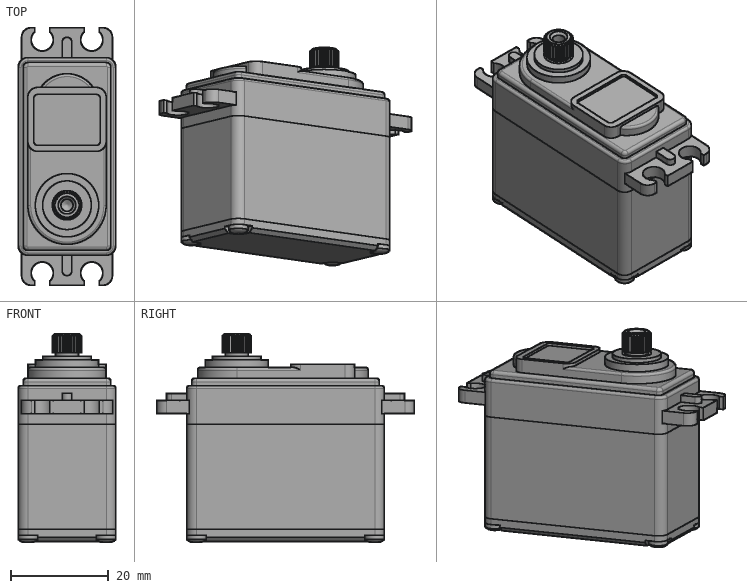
import cadquery as cq
import math

CASE_WIDTH = 20.0
CASE_LENGTH = 40.5
CORNER_RADIUS = 2.0

COVER_BOTTOM = 0.15
COVER_TOP = 2.7
HOUSING_TOP = 24.15
SHOULDER_TOP = 32.1
LID_TOP = 33.65
DECK_TOP = 35.8
BLOCK_TOP = 36.5
LOWER_RING_TOP = 37.35
UPPER_RING_TOP = 38.1
SPLINE_BOTTOM = 38.8
SHAFT_TOP = 42.7

COVER_CHAMFER = 0.9

LID_INSET = 1.0
SHOULDER_FILLET = 0.6
LID_FILLET = 0.75

FLANGE_WIDTH = 18.65
FLANGE_LENGTH = 52.8
FLANGE_BOTTOM = 26.35
FLANGE_TOP = 29.05
MOUNT_HOLE_DIAMETER = 4.5
MOUNT_HOLE_X = 5.05
MOUNT_HOLE_Y = 23.85
MOUNT_SLOT_WIDTH = 3.0
RIB_WIDTH = 2.0
RIB_LENGTH = 48.8
RIB_TOP = 30.45

SHAFT_Y = -10.0
DECK_WIDTH = 16.05
LOBE_DIAMETER = 13.0
LOBE_Y = 10.45
DECK_FILLET = 0.55
BLOCK_FRONT = 1.05
BLOCK_REAR = 14.15
BLOCK_CORNER_RADIUS = 2.0
PANEL_WIDTH = 13.55
PANEL_LENGTH = 10.4
PANEL_Y = 7.5
PANEL_CORNER_RADIUS = 0.75
PANEL_DEPTH = 0.55

LOWER_RING_DIAMETER = 13.0
UPPER_RING_DIAMETER = 10.0

JOURNAL_DIAMETER = 6.0
NECK_DIAMETER = 4.8
SPLINE_DIAMETER = 6.0
SPLINE_ROOT_DIAMETER = 4.95
SPLINE_CHAMFER = (SPLINE_DIAMETER - SPLINE_ROOT_DIAMETER) / 2
TOOTH_COUNT = 25
TOOTH_TIP_WIDTH = 0.25
TOOTH_ROOT_WIDTH = 0.6
TOOTH_OVERLAP = 0.1
BORE_DIAMETER = 2.5
BORE_DEPTH = 3.15
DRILL_POINT_ANGLE = 118
BORE_MOUTH_DIAMETER = 3.6

SCREW_DIAMETER = 2 * CORNER_RADIUS
SCREW_TOP = 1.5
SCREW_CURVE_HEIGHT = 0.65
SCREW_FLAT_DIAMETER = 1.6
SCREW_SPOTS = [
    (x * (CASE_WIDTH / 2 - CORNER_RADIUS), y * (CASE_LENGTH / 2 - CORNER_RADIUS))
    for x in (-1, 1)
    for y in (-1, 1)
]


def block(x, y, width, length, bottom, top):
    """Rectangular block between two heights, centred on a point in plan."""
    return cq.Workplane("XY", origin=(x, y, bottom)).rect(width, length).extrude(top - bottom)


def rounded_block(width, length, radius, bottom, top, y=0):
    """Block astride the YZ plane with rounded vertical edges."""
    return block(0, y, width, length, bottom, top).edges("|Z").fillet(radius)


def disc(x, y, diameter, bottom, top):
    """Upright cylinder between two heights."""
    return cq.Workplane("XY", origin=(x, y, bottom)).circle(diameter / 2).extrude(top - bottom)


def case_slice(bottom, top):
    """Piece of the full case footprint between two heights."""
    return rounded_block(CASE_WIDTH, CASE_LENGTH, CORNER_RADIUS, bottom, top)


def make_screw_pocket(x, y):
    """Pocket open to both outer walls of a corner, rounded about the screw on its inner side."""
    radius = SCREW_DIAMETER / 2
    pocket = disc(x, y, SCREW_DIAMETER, COVER_BOTTOM, SCREW_TOP)
    side_x = x + math.copysign(radius / 2, x)
    end_y = y + math.copysign(radius / 2, y)
    side = block(side_x, y, radius, SCREW_DIAMETER, COVER_BOTTOM, SCREW_TOP)
    end = block(x, end_y, SCREW_DIAMETER, radius, COVER_BOTTOM, SCREW_TOP)
    return pocket.union(side).union(end)


def make_bottom_cover():
    cover = case_slice(COVER_BOTTOM, COVER_TOP).faces("<Z").chamfer(COVER_CHAMFER)
    for x, y in SCREW_SPOTS:
        cover = cover.cut(make_screw_pocket(x, y))
    return cover


def make_flange():
    """Plate through the case whose ends carry open screw slots and a central rib."""
    flange = rounded_block(FLANGE_WIDTH, FLANGE_LENGTH, CORNER_RADIUS, FLANGE_BOTTOM, FLANGE_TOP)
    slot_length = FLANGE_LENGTH / 2 - MOUNT_HOLE_Y
    for x in (-MOUNT_HOLE_X, MOUNT_HOLE_X):
        for side in (-1, 1):
            hole_y = side * MOUNT_HOLE_Y
            hole = disc(x, hole_y, MOUNT_HOLE_DIAMETER, FLANGE_BOTTOM, FLANGE_TOP)
            slot_y = hole_y + side * slot_length / 2
            slot = block(x, slot_y, MOUNT_SLOT_WIDTH, slot_length, FLANGE_BOTTOM, FLANGE_TOP)
            flange = flange.cut(hole).cut(slot)
    rib = (
        cq.Workplane("XY", origin=(0, 0, FLANGE_TOP))
        .slot2D(RIB_LENGTH, RIB_WIDTH, 90)
        .extrude(RIB_TOP - FLANGE_TOP)
    )
    return flange.union(rib)


def make_gear_deck():
    """Raised deck, rounded about the shaft, with a rear lobe and a recessed block."""
    half_width = DECK_WIDTH / 2
    height = DECK_TOP - LID_TOP
    deck = (
        cq.Workplane("XY", origin=(0, 0, LID_TOP))
        .moveTo(-half_width, LOBE_Y)
        .lineTo(-half_width, SHAFT_Y)
        .threePointArc((0, SHAFT_Y - half_width), (half_width, SHAFT_Y))
        .lineTo(half_width, LOBE_Y)
        .close()
        .extrude(height)
    )
    deck = deck.union(disc(0, LOBE_Y, LOBE_DIAMETER, LID_TOP, DECK_TOP))
    deck = deck.faces(">Z").edges().fillet(DECK_FILLET)

    raised_block = rounded_block(
        DECK_WIDTH,
        BLOCK_REAR - BLOCK_FRONT,
        BLOCK_CORNER_RADIUS,
        LID_TOP,
        BLOCK_TOP,
        (BLOCK_REAR + BLOCK_FRONT) / 2,
    )
    panel_recess = rounded_block(
        PANEL_WIDTH,
        PANEL_LENGTH,
        PANEL_CORNER_RADIUS,
        BLOCK_TOP - PANEL_DEPTH,
        BLOCK_TOP,
        PANEL_Y,
    )
    return deck.union(raised_block).cut(panel_recess)


def make_top_case():
    shoulder = case_slice(HOUSING_TOP, SHOULDER_TOP).faces(">Z").edges().fillet(SHOULDER_FILLET)
    lid = rounded_block(
        CASE_WIDTH - 2 * LID_INSET,
        CASE_LENGTH - 2 * LID_INSET,
        CORNER_RADIUS - LID_INSET,
        SHOULDER_TOP,
        LID_TOP,
    )
    lid = lid.faces(">Z").edges().fillet(LID_FILLET)
    lower_ring = disc(0, SHAFT_Y, LOWER_RING_DIAMETER, DECK_TOP, LOWER_RING_TOP)
    upper_ring = disc(0, SHAFT_Y, UPPER_RING_DIAMETER, LOWER_RING_TOP, UPPER_RING_TOP)
    case = shoulder.union(make_flange()).union(lid).union(make_gear_deck())
    shaft_hole = disc(0, SHAFT_Y, JOURNAL_DIAMETER, DECK_TOP, UPPER_RING_TOP)
    return case.union(lower_ring).union(upper_ring).cut(shaft_hole)


def make_output_shaft():
    """Splined shaft with a chamfered tip and a countersunk blind bore, on the Z axis then moved."""
    tip_radius = SPLINE_DIAMETER / 2
    root_radius = SPLINE_ROOT_DIAMETER / 2
    overlap_radius = root_radius - TOOTH_OVERLAP
    spline_height = SHAFT_TOP - SPLINE_BOTTOM

    spline = disc(0, 0, SPLINE_ROOT_DIAMETER, SPLINE_BOTTOM, SHAFT_TOP)
    tooth = (
        cq.Workplane("XY", origin=(0, 0, SPLINE_BOTTOM))
        .moveTo(-TOOTH_ROOT_WIDTH / 2, -overlap_radius)
        .lineTo(-TOOTH_ROOT_WIDTH / 2, -root_radius)
        .lineTo(-TOOTH_TIP_WIDTH / 2, -tip_radius)
        .lineTo(TOOTH_TIP_WIDTH / 2, -tip_radius)
        .lineTo(TOOTH_ROOT_WIDTH / 2, -root_radius)
        .lineTo(TOOTH_ROOT_WIDTH / 2, -overlap_radius)
        .close()
        .extrude(spline_height)
    )
    for index in range(TOOTH_COUNT):
        spline = spline.union(tooth.rotate((0, 0, 0), (0, 0, 1), index * 360 / TOOTH_COUNT))

    envelope = disc(0, 0, SPLINE_DIAMETER, SPLINE_BOTTOM, SHAFT_TOP).faces(">Z").chamfer(SPLINE_CHAMFER)
    spline = spline.intersect(envelope)

    journal = disc(0, 0, JOURNAL_DIAMETER, DECK_TOP, UPPER_RING_TOP)
    neck = disc(0, 0, NECK_DIAMETER, UPPER_RING_TOP, SPLINE_BOTTOM)
    shaft = journal.union(neck).union(spline)

    bore_radius = BORE_DIAMETER / 2
    mouth_radius = BORE_MOUTH_DIAMETER / 2
    drill_point = bore_radius / math.tan(math.radians(DRILL_POINT_ANGLE / 2))
    bore = (
        cq.Workplane("XZ")
        .moveTo(0, SHAFT_TOP)
        .lineTo(mouth_radius, SHAFT_TOP)
        .lineTo(bore_radius, SHAFT_TOP - (mouth_radius - bore_radius))
        .lineTo(bore_radius, SHAFT_TOP - BORE_DEPTH)
        .lineTo(0, SHAFT_TOP - BORE_DEPTH - drill_point)
        .close()
        .revolve(360, (0, 0, 0), (0, 1, 0))
    )
    return shaft.cut(bore).translate((0, SHAFT_Y, 0))


def make_screw(x, y):
    """Screw head with a flat end that curves smoothly up to its rim."""
    radius = SCREW_DIAMETER / 2
    screw = (
        cq.Workplane("XZ")
        .lineTo(SCREW_FLAT_DIAMETER / 2, 0)
        .tangentArcPoint((radius, SCREW_CURVE_HEIGHT), relative=False)
        .lineTo(radius, SCREW_TOP)
        .lineTo(0, SCREW_TOP)
        .close()
        .revolve(360, (0, 0, 0), (0, 1, 0))
    )
    return screw.translate((x, y, 0))


bottom_cover = make_bottom_cover()
housing = case_slice(COVER_TOP, HOUSING_TOP)
top_case = make_top_case()
output_shaft = make_output_shaft()
screws = [make_screw(x, y) for x, y in SCREW_SPOTS]

result = cq.Compound.makeCompound(
    [
        bottom_cover.val(),
        housing.val(),
        top_case.val(),
        output_shaft.val(),
        *[screw.val() for screw in screws],
    ]
)